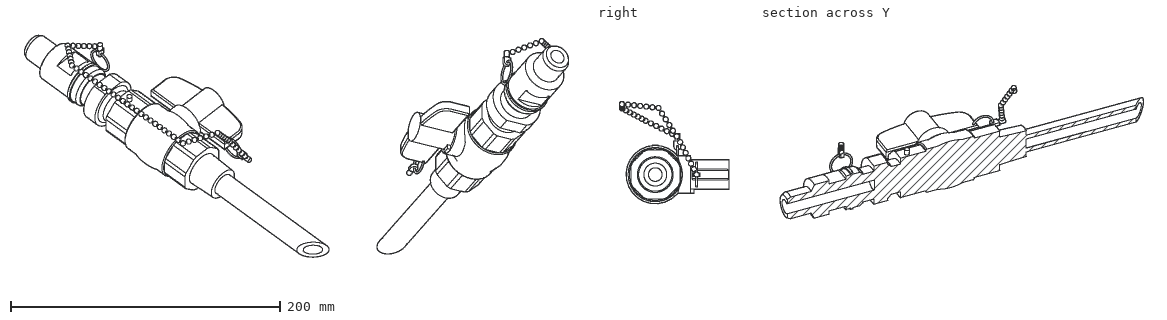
import cadquery as cq
import math

LENGTH = 298.5

NOSE_DIA = 21.2
NOSE_TIP_DIA = 18.2
NOSE_CHAMFER = 3.0
NOSE_END = 19.7
NOSE_BORE_DIA = 10.7
NOSE_BORE_DEPTH = 71.5
PLUG_DIA = 31.5
PLUG_END_DIA = 28.0
PLUG_START = 22.5
PLUG_CHAMFER_START = 59.7
PLUG_END = 62.5
PLUG_FLAT_START = 34.5
PLUG_FLAT_END = 48.3
PLUG_FLAT_HEIGHT = 12.5
COLLAR_DIA = 33.7
COLLAR_START = 52.2
COLLAR_END = 54.3
NECK_DIA = 26.5

UNION_START = 71.3
UNION_END = 83.0
UNION_CONE_END = 85.7
UNION_DIA = 38.8
UNION_CONE_DIA = 32.2
UNION_FLAT_HEIGHT = 17.5

BALL_CENTER = 134.0
HOUSING_DIA = 40.3
HOUSING_LENGTH = 40.0
HOUSING_CHAMFER = 1.0
BULGE_DIA = 43.5
BULGE_LENGTH = 20.3
NUT_LENGTH = 21.0
NUT_ACROSS_FLATS = 36.5
NUT_FLAT_WIDTH = 11.5
INDICATOR_DIA = 4.0
INDICATOR_TOP = 22.0
INDICATOR_X = 100.0

TAIL_LENGTH = 21.8
TAIL_START_DIA = 26.5
TAIL_END_DIA = 24.8
TUBE_DIA = 17.0
TUBE_BORE_DIA = 10.0

STEM_DIA = 28.0
STEM_END = 26.3
HANDLE_END = 55.0
BARREL_DIA = 22.0
WING_SPAN = 76.5
WING_THICKNESS = 8.5
WING_CHAMFER = 1.2
WING_BASE = 27.2
WING_STRAIGHT_END = 40.0
WING_CORNER_INSET = 7.5
WING_CORNER_END = 51.3
STOP_END = 29.0
STOP_HEIGHT = 3.5
STOP_WIDTH = 6.0

RING_DIA = 17.3
RING_WIRE_DIA = 1.5
EYE_DIA = 5.5
EYE_THICKNESS = 2.5
FERRULE_DIA = 4.0
FERRULE_START = 12.8
FERRULE_END = 18.2
BEAD_DIA = 4.0
BEAD_SPACING = 4.8
LINK_DIA = 1.2
PLUG_RING_CENTER = (53.7, 16.5, 12.2)
HANDLE_RING_CENTER = (176.7, 30.7, 0.0)
CHAIN_REACH = 16.0
CHAIN_BENDS = [
    (43.0, -7.2, 40.0),
    (64.5, -24.8, 49.2),
    (179.5, -24.8, 52.5),
    (189.0, 2.5, 49.5),
    (186.0, 18.5, 24.2),
]

HOUSING_START = BALL_CENTER - HOUSING_LENGTH / 2
HOUSING_END = BALL_CENTER + HOUSING_LENGTH / 2
INLET_NUT_START = HOUSING_START - NUT_LENGTH
TAIL_START = HOUSING_END + NUT_LENGTH
TAIL_END = TAIL_START + TAIL_LENGTH


def rod(start, end, diameter):
    """Cylinder on the valve axis between two X positions."""
    return cq.Workplane("YZ", origin=(start, 0, 0)).circle(diameter / 2).extrude(end - start)


def turned(points):
    """Solid of revolution about the valve axis from (x, diameter) points."""
    outline = [(x, diameter / 2) for x, diameter in points]
    outline = [(points[0][0], 0)] + outline + [(points[-1][0], 0)]
    return cq.Workplane("XY").polyline(outline).close().revolve(360, (0, 0, 0), (1, 0, 0))


def between_flats(start, end, height):
    """Slab that limits a turned part to a pair of flats facing +Z and -Z."""
    middle = (start + end) / 2
    return cq.Workplane("XY").box(end - start, 2 * PLUG_DIA, 2 * height).translate((middle, 0, 0))


def make_plug():
    plug = turned([
        (0, NOSE_TIP_DIA),
        (NOSE_CHAMFER, NOSE_DIA),
        (NOSE_END, NOSE_DIA),
        (PLUG_START, PLUG_DIA),
        (PLUG_CHAMFER_START, PLUG_DIA),
        (PLUG_END, PLUG_END_DIA),
        (PLUG_END, NECK_DIA),
        (INLET_NUT_START, NECK_DIA),
    ])
    waste = rod(PLUG_FLAT_START, PLUG_FLAT_END, 2 * PLUG_DIA)
    waste = waste.cut(between_flats(PLUG_FLAT_START, PLUG_FLAT_END, PLUG_FLAT_HEIGHT))
    return plug.cut(waste).union(rod(COLLAR_START, COLLAR_END, COLLAR_DIA))


def make_union_nut():
    nut = rod(UNION_START, UNION_END, UNION_DIA)
    nut = nut.intersect(between_flats(UNION_START, UNION_END, UNION_FLAT_HEIGHT))
    return nut.union(turned([(UNION_END, UNION_CONE_DIA), (UNION_CONE_END, NECK_DIA)]))


def make_end_nut(start):
    """Octagonal nut whose eight corners are cut back to narrow flats."""
    half_height = NUT_ACROSS_FLATS / 2
    half_flat = NUT_FLAT_WIDTH / 2
    reach = math.hypot(half_height, half_flat)
    half_angle = math.atan2(half_flat, half_height)
    corners = []
    for side in range(8):
        for edge in (-half_angle, half_angle):
            angle = side * math.pi / 4 + edge
            corners.append((reach * math.cos(angle), reach * math.sin(angle)))
    return cq.Workplane("YZ", origin=(start, 0, 0)).polyline(corners).close().extrude(NUT_LENGTH)


def make_housing():
    bulge_start = BALL_CENTER - BULGE_LENGTH / 2
    bulge_end = BALL_CENTER + BULGE_LENGTH / 2
    radius = HOUSING_DIA / 2
    housing = (
        cq.Workplane("XY")
        .moveTo(HOUSING_START, 0)
        .lineTo(HOUSING_START, radius)
        .lineTo(bulge_start, radius)
        .threePointArc((BALL_CENTER, BULGE_DIA / 2), (bulge_end, radius))
        .lineTo(HOUSING_END, radius)
        .lineTo(HOUSING_END, 0)
        .close()
        .revolve(360, (0, 0, 0), (1, 0, 0))
    )
    indicator = (
        cq.Workplane("XY", origin=(INDICATOR_X, 0, 0)).circle(INDICATOR_DIA / 2).extrude(INDICATOR_TOP)
    )
    housing = housing.faces("<X or >X").chamfer(HOUSING_CHAMFER)
    inlet_nut = make_end_nut(INLET_NUT_START)
    outlet_nut = make_end_nut(HOUSING_END)
    return housing.union(inlet_nut).union(outlet_nut).union(indicator)


def make_outlet():
    """Tapered tailpiece and a tube cut off at 45 degrees, its opening facing -Y."""
    tail = turned([(TAIL_START, TAIL_START_DIA), (TAIL_END, TAIL_END_DIA)])
    radius = TUBE_DIA / 2
    tube = rod(TAIL_START, LENGTH, TUBE_DIA).cut(rod(TAIL_END, LENGTH, TUBE_BORE_DIA))
    tip = (
        cq.Workplane("XY")
        .polyline([(LENGTH, radius), (LENGTH, -radius), (LENGTH - TUBE_DIA, -radius)])
        .close()
        .extrude(radius, both=True)
    )
    return tail.union(tube.cut(tip))


def post(start, end, diameter):
    """Cylinder on the stem axis between two Y positions."""
    workplane = cq.Workplane("XZ", origin=(BALL_CENTER, start, 0))
    return workplane.circle(diameter / 2).extrude(start - end)


def make_handle():
    half_span = WING_SPAN / 2
    half_crown = half_span - WING_CORNER_INSET
    diagonal = math.sqrt(0.5)
    corner_rise = WING_CORNER_END - WING_STRAIGHT_END
    corner_x = half_crown + WING_CORNER_INSET * diagonal
    corner_y = WING_STRAIGHT_END + corner_rise * diagonal
    wings = (
        cq.Workplane("XY", origin=(BALL_CENTER, 0, 0))
        .moveTo(-half_span, WING_BASE)
        .lineTo(-half_span, WING_STRAIGHT_END)
        .threePointArc((-corner_x, corner_y), (-half_crown, WING_CORNER_END))
        .threePointArc((0, HANDLE_END), (half_crown, WING_CORNER_END))
        .threePointArc((corner_x, corner_y), (half_span, WING_STRAIGHT_END))
        .lineTo(half_span, WING_BASE)
        .close()
        .extrude(WING_THICKNESS / 2, both=True)
        .faces("<Z or >Z")
        .chamfer(WING_CHAMFER)
    )
    stop_middle = (STEM_END + STOP_END) / 2
    stop_bottom = -STEM_DIA / 2
    stop = cq.Workplane("XY", origin=(BALL_CENTER, stop_middle, stop_bottom)).box(
        STOP_WIDTH, STOP_END - STEM_END, STOP_HEIGHT, centered=(True, True, False)
    )
    stem = post(0, STEM_END, STEM_DIA)
    barrel = post(0, HANDLE_END, BARREL_DIA)
    return stem.union(barrel).union(wings).union(stop)


def make_ring(center, turn):
    """Split ring with its eye and ferrule on top, turned about its own Y axis by degrees."""
    wire = cq.Workplane("XY").add(cq.Solid.makeTorus(
        RING_DIA / 2, RING_WIRE_DIA / 2, cq.Vector(0, 0, 0), cq.Vector(0, 1, 0)
    ))
    half_thickness = EYE_THICKNESS / 2
    eye = (
        cq.Workplane("YZ", origin=(0, 0, RING_DIA / 2))
        .circle(EYE_DIA / 2)
        .extrude(half_thickness, both=True)
    )
    shank = cq.Workplane("XY", origin=(0, 0, RING_DIA / 2)).rect(EYE_THICKNESS, EYE_DIA).extrude(
        FERRULE_START - RING_DIA / 2
    )
    ferrule = (
        cq.Workplane("XY", origin=(0, 0, FERRULE_START))
        .circle(FERRULE_DIA / 2)
        .extrude(FERRULE_END - FERRULE_START)
    )
    ring = wire.union(eye).union(shank).union(ferrule)
    return ring.rotate((0, 0, 0), (0, 1, 0), turn).translate(center)


def make_chain(points):
    """Ball chain: a thin wire through the points with evenly spaced beads on every stretch."""
    pieces = []
    for start, end in zip(points, points[1:]):
        stretch = end - start
        pieces.append(cq.Solid.makeCylinder(LINK_DIA / 2, stretch.Length, start, stretch))
        count = round(stretch.Length / BEAD_SPACING)
        for index in range(count):
            place = start + stretch * (index / count)
            bead = cq.Workplane("XY").sphere(BEAD_DIA / 2).translate(place)
            pieces.append(bead.val())
    return cq.Workplane("XY").add(pieces[0].fuse(*pieces[1:]))


chain_start = cq.Vector(*PLUG_RING_CENTER) + cq.Vector(0, 0, CHAIN_REACH)
chain_end = cq.Vector(*HANDLE_RING_CENTER) + cq.Vector(CHAIN_REACH, 0, 0)
bends = [cq.Vector(*bend) for bend in CHAIN_BENDS]

valve = make_plug().union(make_union_nut()).union(make_housing()).union(make_outlet())
valve = valve.union(make_handle()).cut(rod(0, NOSE_BORE_DEPTH, NOSE_BORE_DIA))
chain = make_chain([chain_start] + bends + [chain_end])
chain = chain.union(make_ring(PLUG_RING_CENTER, 0)).union(make_ring(HANDLE_RING_CENTER, 90))
result = valve.union(chain)